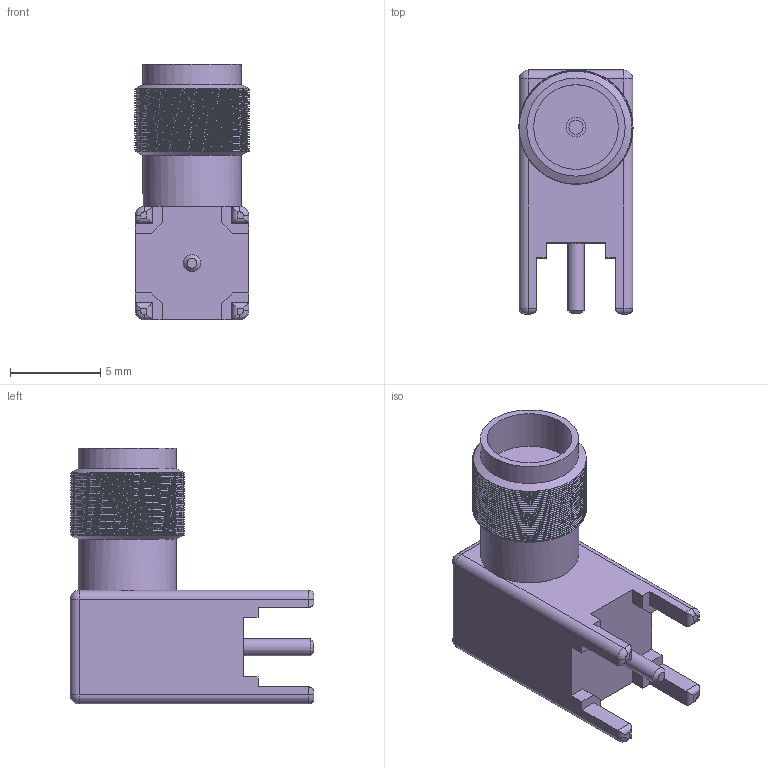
import cadquery as cq

HOUSING_WIDTH = 6.3
HOUSING_BACK_Y = 3.18
BLOCK_LENGTH = 9.6
HOUSING_ROUND = 0.5

STANDOFF_SIZE = 1.5
STANDOFF_HEIGHT = 0.83
STANDOFF_CHAMFER = 0.6
LEG_SIZE = 0.95
LEG_HEIGHT = 3.1
LEG_TIP_ROUND = 0.3

PIN_DIAMETER = 0.95
PIN_TIP_CHAMFER = 0.2

SLEEVE_DIAMETER = 5.45
SLEEVE_HEIGHT = 7.9
BORE_DIAMETER = 4.7
BORE_DEPTH = 2.2
SOCKET_MOUTH_DIAMETER = 1.1
SOCKET_MOUTH_DEPTH = 0.3
SOCKET_DIAMETER = 0.78
SOCKET_DEPTH = 1.5

COLLAR_DIAMETER = 6.33
COLLAR_BASE_Z = 9.15
COLLAR_BEVEL_HEIGHT = 0.22
THREAD_LENGTH = 3.46
THREAD_PITCH = 0.13
THREAD_DEPTH = 0.06
GROOVE_TO_PITCH = 0.8
GROOVE_OVERRUN = THREAD_PITCH / 2

BLOCK_FRONT_Y = HOUSING_BACK_Y - BLOCK_LENGTH
STANDOFF_FRONT_Y = BLOCK_FRONT_Y - STANDOFF_HEIGHT
LEG_END_Y = STANDOFF_FRONT_Y - LEG_HEIGHT
HOUSING_MID_Z = HOUSING_WIDTH / 2
SLEEVE_TOP_Z = HOUSING_WIDTH + SLEEVE_HEIGHT
BORE_FLOOR_Z = SLEEVE_TOP_Z - BORE_DEPTH
THREAD_BASE_Z = COLLAR_BASE_Z + COLLAR_BEVEL_HEIGHT
THREAD_TOP_Z = THREAD_BASE_Z + THREAD_LENGTH


def section_at(y):
    """Sketch plane across the housing at y, facing -Y, centred on the contact pin."""
    return cq.Workplane("XZ", origin=(0, y, HOUSING_MID_Z))


def vertical_cylinder(diameter, bottom_z, top_z):
    """Cylinder on the sleeve axis."""
    return cq.Workplane("XY").workplane(offset=bottom_z).circle(diameter / 2).extrude(top_z - bottom_z)


def rounded_envelope():
    """Full-length square bar with its long edges and its back end rounded."""
    bar = section_at(HOUSING_BACK_Y).rect(HOUSING_WIDTH, HOUSING_WIDTH).extrude(HOUSING_BACK_Y - LEG_END_Y)
    return bar.edges("|Y or >Y").fillet(HOUSING_ROUND)


def standoff(side_x, side_z):
    """Corner pad with its inward corner bevelled."""
    outer = HOUSING_WIDTH / 2
    inner = outer - STANDOFF_SIZE
    bevel_end = inner + STANDOFF_CHAMFER
    outline = [(outer, outer), (inner, outer), (inner, bevel_end), (bevel_end, inner), (outer, inner)]
    placed = [(side_x * x, side_z * z) for x, z in outline]
    return section_at(BLOCK_FRONT_Y).polyline(placed).close().extrude(STANDOFF_HEIGHT)


def leg(side_x, side_z):
    """Square solder leg in one corner of the housing."""
    offset = (HOUSING_WIDTH - LEG_SIZE) / 2
    return (
        section_at(BLOCK_FRONT_Y)
        .center(side_x * offset, side_z * offset)
        .rect(LEG_SIZE, LEG_SIZE)
        .extrude(STANDOFF_HEIGHT + LEG_HEIGHT)
    )


def housing():
    """Block, standoffs and legs trimmed to the rounded envelope, with rounded leg tips."""
    body = section_at(HOUSING_BACK_Y).rect(HOUSING_WIDTH, HOUSING_WIDTH).extrude(BLOCK_LENGTH)
    for side_x in (-1, 1):
        for side_z in (-1, 1):
            body = body.union(standoff(side_x, side_z)).union(leg(side_x, side_z))
    return body.intersect(rounded_envelope()).faces("<Y").edges().fillet(LEG_TIP_ROUND)


def contact_pin():
    """Round pin ending level with the legs."""
    pin = section_at(BLOCK_FRONT_Y).circle(PIN_DIAMETER / 2).extrude(STANDOFF_HEIGHT + LEG_HEIGHT)
    return pin.faces("<Y").edges().chamfer(PIN_TIP_CHAMFER)


def thread_groove():
    """Fine V-groove wound around the collar, breaking out into both bevels.

    The cutter reaches one groove depth beyond the surface, where it is twice the groove width.
    """
    radius = COLLAR_DIAMETER / 2
    groove_width = THREAD_PITCH * GROOVE_TO_PITCH
    start_z = THREAD_BASE_Z - GROOVE_OVERRUN
    helix = cq.Wire.makeHelix(THREAD_PITCH, THREAD_LENGTH + 2 * GROOVE_OVERRUN, radius)
    path = cq.Workplane(helix).translate((0, 0, start_z))
    profile = (
        cq.Workplane("XZ", origin=(0, 0, start_z))
        .moveTo(radius - THREAD_DEPTH, 0)
        .lineTo(radius + THREAD_DEPTH, groove_width)
        .lineTo(radius + THREAD_DEPTH, -groove_width)
        .close()
    )
    return profile.sweep(path, isFrenet=True)


def collar():
    """Collar with bevels running down to the sleeve and a threaded middle."""
    sleeve_radius = SLEEVE_DIAMETER / 2
    radius = COLLAR_DIAMETER / 2
    blank = (
        cq.Workplane("XZ")
        .moveTo(0, COLLAR_BASE_Z)
        .lineTo(sleeve_radius, COLLAR_BASE_Z)
        .lineTo(radius, THREAD_BASE_Z)
        .lineTo(radius, THREAD_TOP_Z)
        .lineTo(sleeve_radius, THREAD_TOP_Z + COLLAR_BEVEL_HEIGHT)
        .lineTo(0, THREAD_TOP_Z + COLLAR_BEVEL_HEIGHT)
        .close()
        .revolve(360, (0, 0, 0), (0, 1, 0))
    )
    return blank.cut(thread_groove())


def connector():
    """Right-angle connector: housing, contact pin, sleeve and threaded collar."""
    sleeve = vertical_cylinder(SLEEVE_DIAMETER, HOUSING_MID_Z, SLEEVE_TOP_Z)
    bore = vertical_cylinder(BORE_DIAMETER, BORE_FLOOR_Z, SLEEVE_TOP_Z)
    mouth = vertical_cylinder(SOCKET_MOUTH_DIAMETER, BORE_FLOOR_Z - SOCKET_MOUTH_DEPTH, BORE_FLOOR_Z)
    socket = vertical_cylinder(SOCKET_DIAMETER, BORE_FLOOR_Z - SOCKET_DEPTH, BORE_FLOOR_Z)
    body = housing().union(contact_pin()).union(sleeve).union(collar())
    return body.cut(bore).cut(mouth).cut(socket)


result = connector()